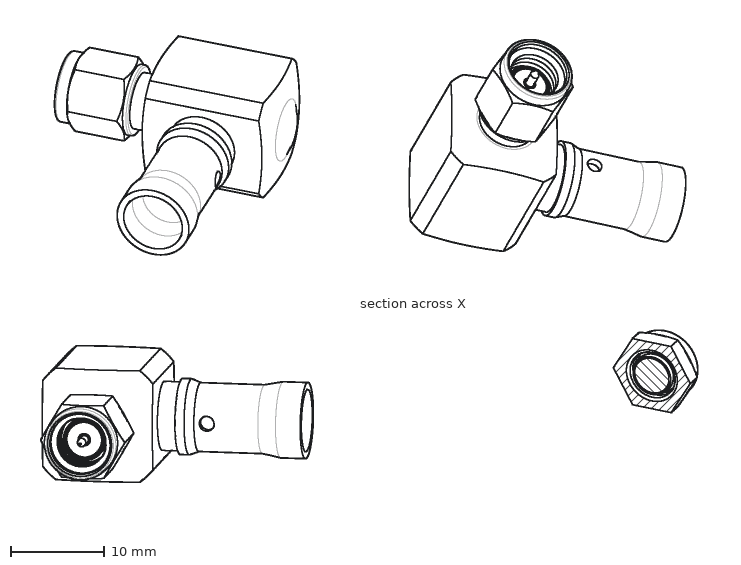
import cadquery as cq
import math


BLOCK_WIDTH_Y = 12.0
BLOCK_HEIGHT_Z = 12.19
BLOCK_ROUND_RADIUS = 7.62
BLOCK_CORNER_X = 6.46
END_CONE_ANGLE = 12.5
END_CONE_INNER_RADIUS = 3.4
DOME_TIP_X = 8.3

NECK_RADIUS = 3.08
CONDUCTOR_FACE_X = -14.8
CONDUCTOR_RADIUS = 2.26
INSERT_RADIUS = 2.0
JOINT_CHAMFER = 0.1

PIN_RADIUS = 0.46
PIN_TIP_RADIUS = 0.1
PIN_CONE_LENGTH = 0.85
PIN_TIP_X = -17.25
PIN_GROOVE_DEPTH = 0.1

NUT_FRONT_X = -17.63
NUT_REAR_X = -9.27
HEX_ACROSS_FLATS = 7.94
HEX_FRONT_X = -15.77
HEX_REAR_X = -10.22
HEX_CHAMFER_ANGLE = 30.0
NUT_COLLAR_RADIUS = 3.88
FRONT_ROUND = 0.23
REAR_ROUND = 0.18
MOUTH_DEPTH = 0.87
MOUTH_CHAMFER = 0.2
THREAD_ROOT_RADIUS = 3.28
THREAD_CREST_RADIUS = 2.66
THREADS_PER_INCH = 36
THREAD_PITCH = 25.4 / THREADS_PER_INCH
THREAD_TURNS = 5

TUBE_RADIUS = 3.71
TUBE_BULGE_RADIUS = 4.1
TUBE_BORE_RADIUS = 2.89
TUBE_MOUTH_RADIUS = 3.34
TUBE_END_Y = -21.61
COLLAR_START_Y = -7.97
COLLAR_TAPER_Y = -8.97
COLLAR_END_Y = -9.97
FLARE_START_Y = -16.9
FLARE_END_Y = -18.9
VENT_DIAMETER = 1.6
VENT_Y = -11.37

CONE_RISE = (BLOCK_ROUND_RADIUS - END_CONE_INNER_RADIUS) * math.tan(math.radians(END_CONE_ANGLE))
BLOCK_FACE_X = BLOCK_CORNER_X + CONE_RISE
DOME_HEIGHT = DOME_TIP_X - BLOCK_FACE_X
BLOCK_FRONT_Y = -BLOCK_WIDTH_Y / 2
THREAD_START_X = NUT_FRONT_X + MOUTH_DEPTH
THREAD_END_X = THREAD_START_X + THREAD_TURNS * THREAD_PITCH


def turned_about_x(profile):
    """Revolve a closed (x, radius) profile drawn on the XY plane about the X axis."""
    return profile.close().revolve(360, (0, 0, 0), (1, 0, 0))


def turned_about_y(profile):
    """Revolve a closed (radius, y) profile drawn on the XY plane about the Y axis."""
    return profile.close().revolve(360, (0, 0, 0), (0, 1, 0))


def make_block():
    """Turned blank with coned ends and a domed back, milled to a rectangular section."""
    dome_sphere_radius = (END_CONE_INNER_RADIUS**2 + DOME_HEIGHT**2) / (2 * DOME_HEIGHT)
    dome_center_x = DOME_TIP_X - dome_sphere_radius
    half_angle = math.asin(END_CONE_INNER_RADIUS / dome_sphere_radius) / 2
    dome_middle = (
        dome_center_x + dome_sphere_radius * math.cos(half_angle),
        dome_sphere_radius * math.sin(half_angle),
    )
    blank = turned_about_x(
        cq.Workplane("XY")
        .moveTo(-BLOCK_FACE_X, 0)
        .lineTo(-BLOCK_FACE_X, END_CONE_INNER_RADIUS)
        .lineTo(-BLOCK_CORNER_X, BLOCK_ROUND_RADIUS)
        .lineTo(BLOCK_CORNER_X, BLOCK_ROUND_RADIUS)
        .lineTo(BLOCK_FACE_X, END_CONE_INNER_RADIUS)
        .threePointArc(dome_middle, (DOME_TIP_X, 0))
    )
    section = cq.Workplane("XY").box(2 * DOME_TIP_X, BLOCK_WIDTH_Y, BLOCK_HEIGHT_Z)
    return blank.intersect(section)


def make_neck():
    """Neck behind the nut, and the slimmer outer conductor that stands inside the thread."""
    return turned_about_x(
        cq.Workplane("XY")
        .moveTo(-BLOCK_FACE_X, 0)
        .lineTo(-BLOCK_FACE_X, NECK_RADIUS)
        .lineTo(THREAD_END_X, NECK_RADIUS)
        .lineTo(THREAD_END_X, CONDUCTOR_RADIUS)
        .lineTo(CONDUCTOR_FACE_X, CONDUCTOR_RADIUS)
        .lineTo(CONDUCTOR_FACE_X, 0)
    )


def make_insert_recess():
    """Bore of the outer conductor with its chamfered mouth."""
    return turned_about_x(
        cq.Workplane("XY")
        .moveTo(-BLOCK_FACE_X, 0)
        .lineTo(-BLOCK_FACE_X, INSERT_RADIUS)
        .lineTo(CONDUCTOR_FACE_X + JOINT_CHAMFER, INSERT_RADIUS)
        .lineTo(CONDUCTOR_FACE_X, INSERT_RADIUS + JOINT_CHAMFER)
        .lineTo(CONDUCTOR_FACE_X, 0)
    )


def make_tube():
    """Cable tube with a collar near the block, a flared mouth and a cross vent hole."""
    tube = turned_about_y(
        cq.Workplane("XY")
        .moveTo(0, BLOCK_FRONT_Y)
        .lineTo(TUBE_RADIUS, BLOCK_FRONT_Y)
        .lineTo(TUBE_RADIUS, COLLAR_START_Y)
        .lineTo(TUBE_BULGE_RADIUS, COLLAR_START_Y)
        .lineTo(TUBE_BULGE_RADIUS, COLLAR_TAPER_Y)
        .lineTo(TUBE_RADIUS, COLLAR_END_Y)
        .lineTo(TUBE_RADIUS, FLARE_START_Y)
        .lineTo(TUBE_BULGE_RADIUS, FLARE_END_Y)
        .lineTo(TUBE_BULGE_RADIUS, TUBE_END_Y)
        .lineTo(TUBE_MOUTH_RADIUS, TUBE_END_Y)
        .lineTo(TUBE_MOUTH_RADIUS, FLARE_END_Y)
        .lineTo(TUBE_BORE_RADIUS, FLARE_START_Y)
        .lineTo(TUBE_BORE_RADIUS, BLOCK_FRONT_Y)
        .lineTo(0, BLOCK_FRONT_Y)
    )
    vent = (
        cq.Workplane("YZ")
        .center(VENT_Y, 0)
        .circle(VENT_DIAMETER / 2)
        .extrude(TUBE_BULGE_RADIUS, both=True)
    )
    return tube.cut(vent)


def make_housing():
    """Block, neck with its insert recess, and cable tube, in one piece."""
    return make_block().union(make_neck()).cut(make_insert_recess()).union(make_tube())


def make_insert():
    """Insulator flush with the outer conductor, carrying the pointed contact pin."""
    return turned_about_x(
        cq.Workplane("XY")
        .moveTo(-BLOCK_FACE_X, 0)
        .lineTo(-BLOCK_FACE_X, INSERT_RADIUS)
        .lineTo(CONDUCTOR_FACE_X + JOINT_CHAMFER, INSERT_RADIUS)
        .lineTo(CONDUCTOR_FACE_X, INSERT_RADIUS - JOINT_CHAMFER)
        .lineTo(CONDUCTOR_FACE_X, PIN_RADIUS + 2 * PIN_GROOVE_DEPTH)
        .lineTo(CONDUCTOR_FACE_X + PIN_GROOVE_DEPTH, PIN_RADIUS + PIN_GROOVE_DEPTH)
        .lineTo(CONDUCTOR_FACE_X, PIN_RADIUS)
        .lineTo(PIN_TIP_X + PIN_CONE_LENGTH, PIN_RADIUS)
        .lineTo(PIN_TIP_X, PIN_TIP_RADIUS)
        .lineTo(PIN_TIP_X, 0)
    )


def make_nut_blank():
    """Hexagon with coned ends between a front and a rear round collar."""
    corner_radius = HEX_ACROSS_FLATS / math.sqrt(3)
    cone_length = (corner_radius - NUT_COLLAR_RADIUS) * math.tan(math.radians(HEX_CHAMFER_ANGLE))
    envelope = turned_about_x(
        cq.Workplane("XY")
        .moveTo(HEX_FRONT_X - cone_length, 0)
        .lineTo(HEX_FRONT_X - cone_length, NUT_COLLAR_RADIUS)
        .lineTo(HEX_FRONT_X, corner_radius)
        .lineTo(HEX_REAR_X, corner_radius)
        .lineTo(HEX_REAR_X + cone_length, NUT_COLLAR_RADIUS)
        .lineTo(HEX_REAR_X + cone_length, 0)
    )
    nut_length = NUT_REAR_X - NUT_FRONT_X
    hexagon = (
        cq.Workplane("YZ", origin=(NUT_FRONT_X, 0, 0))
        .polygon(6, 2 * corner_radius)
        .extrude(nut_length)
    )
    collars = (
        cq.Workplane("YZ", origin=(NUT_FRONT_X, 0, 0))
        .circle(NUT_COLLAR_RADIUS)
        .extrude(nut_length)
        .faces("<X")
        .edges()
        .fillet(FRONT_ROUND)
        .faces(">X")
        .edges()
        .fillet(REAR_ROUND)
    )
    return hexagon.intersect(envelope).union(collars)


def make_nut_bore():
    """Plain mouth, V-ring thread, and the bore that runs on the housing neck."""
    profile = (
        cq.Workplane("XY")
        .moveTo(NUT_FRONT_X, 0)
        .lineTo(NUT_FRONT_X, THREAD_ROOT_RADIUS + MOUTH_CHAMFER)
        .lineTo(NUT_FRONT_X + MOUTH_CHAMFER, THREAD_ROOT_RADIUS)
        .lineTo(THREAD_START_X, THREAD_ROOT_RADIUS)
    )
    for turn in range(THREAD_TURNS):
        turn_x = THREAD_START_X + turn * THREAD_PITCH
        profile = profile.lineTo(turn_x + THREAD_PITCH / 2, THREAD_CREST_RADIUS)
        if turn < THREAD_TURNS - 1:
            profile = profile.lineTo(turn_x + THREAD_PITCH, THREAD_ROOT_RADIUS)
    return turned_about_x(
        profile.lineTo(THREAD_END_X, NECK_RADIUS)
        .lineTo(NUT_REAR_X, NECK_RADIUS)
        .lineTo(NUT_REAR_X, 0)
    )


def make_nut():
    """Threaded coupling nut."""
    return make_nut_blank().cut(make_nut_bore())


housing = make_housing()
insert = make_insert()
nut = make_nut()

result = cq.Compound.makeCompound([*housing.solids().vals(), insert.val(), *nut.solids().vals()])